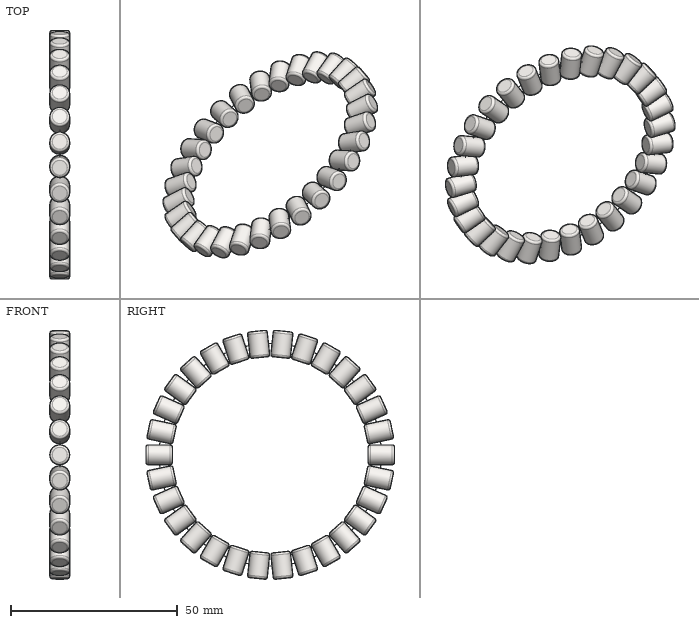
import cadquery as cq

roller_count = 30
roller_diameter = 6.0
roller_length = 8.0
outer_radius = 37.3
edge_radius = 0.75
wire_diameter = 0.01

inner_radius = outer_radius - roller_length
pitch_radius = outer_radius - roller_length / 2
roller_pitch_angle = 360 / roller_count

ring_centre = cq.Vector(0, 0, 0)
ring_axis = cq.Vector(1, 0, 0)


def make_roller():
    """Cylinder with rounded end edges, lying along +Y and pointing away from the ring centre."""
    inner_end = cq.Plane(origin=(0, inner_radius, 0), xDir=(0, 0, 1), normal=(0, 1, 0))
    cylinder = cq.Workplane(inner_end).circle(roller_diameter / 2).extrude(roller_length)
    return cylinder.edges("%CIRCLE").fillet(edge_radius)


def make_wire():
    """Thin round ring that strings the rollers together at mid length."""
    torus = cq.Solid.makeTorus(pitch_radius, wire_diameter / 2, pnt=ring_centre, dir=ring_axis)
    return cq.Workplane(torus)


def make_roller_ring():
    """Rollers spaced evenly around the ring axis, joined by the wire."""
    ring = make_wire()
    roller = make_roller()
    for index in range(roller_count):
        angle = index * roller_pitch_angle
        ring = ring.union(roller.rotate(ring_centre, ring_centre + ring_axis, angle))
    return ring


result = make_roller_ring()